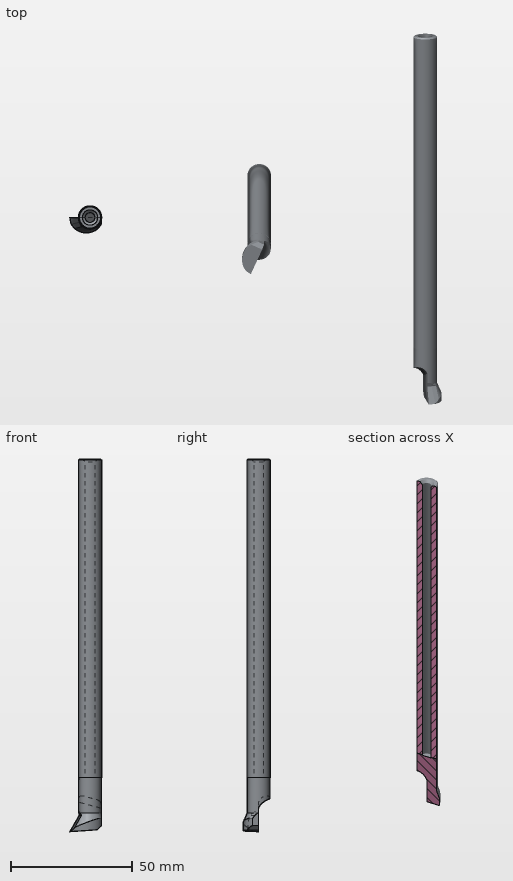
import cadquery as cq
import math

overall_length = 153.6
overall_width = 13.2
joint_height = 22.5
big = 30.7

shank_diameter = 9.7
shank_radius = shank_diameter / 2
shank_edge_chamfer = 0.5
coolant_hole_diameter = 4.0
countersink_diameter = 6.3
countersink_angle = 90.0

head_diameter = 9.5
head_radius = head_diameter / 2
tip_x = shank_radius - overall_width

flare_top = 7.7
flare_center = (-0.9, -0.6)
flare_base_radius = 7.5
foot_center = (-1.5, 0.69)
foot_radius = 7.0

scoop_radius = 4.6
scoop_center_y = 4.3
scoop_top = 13.5
scoop_tilt = 15.0

flank_rise = (3.8, 6.8)
flank_runout = (3.5, 8.3)
primary_clearance = 10.0
secondary_clearance = 17.0
primary_land = 2.8
heel_chamfer = 1.8
heel_height = 0.8


def make_shank():
    """Round bar with a chamfered rear edge and a countersunk coolant hole along its axis."""
    length = overall_length - joint_height
    bar = cq.Workplane("XY").workplane(offset=joint_height).circle(shank_radius).extrude(length)
    bar = bar.faces(">Z").edges().chamfer(shank_edge_chamfer)
    rear_face = bar.faces(">Z").workplane()
    return rear_face.cskHole(coolant_hole_diameter, countersink_diameter, countersink_angle)


def flared_foot():
    """Foot that widens downward from the round head towards the tip."""
    cone = (
        cq.Workplane("XY").circle(flare_base_radius)
        .workplane(offset=flare_top)
        .center(-flare_center[0], -flare_center[1])
        .circle(head_radius)
        .loft(ruled=True)
        .translate((flare_center[0], flare_center[1], 0))
    )
    trim = cq.Workplane("XY").center(*foot_center).circle(foot_radius).extrude(flare_top)
    side = cq.Workplane("XY").box(2 * big, 2 * big, 2 * big).translate((head_radius - big, 0, 0))
    return cone.intersect(trim).intersect(side)


def chip_scoop():
    """Cutter that leaves the flat rake face at Y = 0 and a rounded, tilted run-out above it."""
    center_z = scoop_top - scoop_radius
    entry_z = center_z + math.sqrt(scoop_radius**2 - scoop_center_y**2)
    middle_angle = math.radians(135)
    middle = (
        scoop_center_y + scoop_radius * math.cos(middle_angle),
        center_z + scoop_radius * math.sin(middle_angle),
    )
    profile = (
        cq.Workplane("YZ").moveTo(0, -big).lineTo(0, entry_z)
        .threePointArc(middle, (scoop_center_y, scoop_top))
        .lineTo(big, scoop_top).lineTo(big, -big).close()
    )
    return profile.extrude(big, both=True).rotate((0, 0, 0), (0, 1, 0), scoop_tilt)


def flank_cut(clearance, land_start):
    """Cutter for one flank land, swung inward by its clearance angle from Y = -land_start on."""
    start_x = tip_x + land_start * math.tan(math.radians(primary_clearance))
    profile = (
        cq.Workplane("XZ")
        .polyline([(0, 0), flank_rise, flank_runout, (-big, flank_runout[1]), (-big, 0)])
        .close()
    )
    cutter = profile.extrude(big, both=True).rotate((0, 0, 0), (0, 0, 1), clearance)
    return cutter.translate((start_x, -land_start, 0))


def end_relief():
    """Cutter below the end face, which rises from the tip to a chamfer at the heel."""
    heel_x = head_radius - heel_chamfer
    return (
        cq.Workplane("XZ")
        .polyline([
            (tip_x, 0),
            (heel_x, heel_height),
            (head_radius, heel_height + heel_chamfer),
            (big, heel_height + heel_chamfer),
            (big, -big),
            (tip_x, -big),
        ])
        .close()
        .extrude(big, both=True)
    )


def make_head():
    """Round neck and flared foot, ground to a rake face, two flank lands and a sloping end."""
    head = cq.Workplane("XY").circle(head_radius).extrude(joint_height)
    head = head.union(flared_foot()).cut(chip_scoop())
    head = head.cut(flank_cut(primary_clearance, 0)).cut(flank_cut(secondary_clearance, primary_land))
    return head.cut(end_relief())


shank = make_shank()
head = make_head()
result = cq.Compound.makeCompound([shank.val(), head.val()])